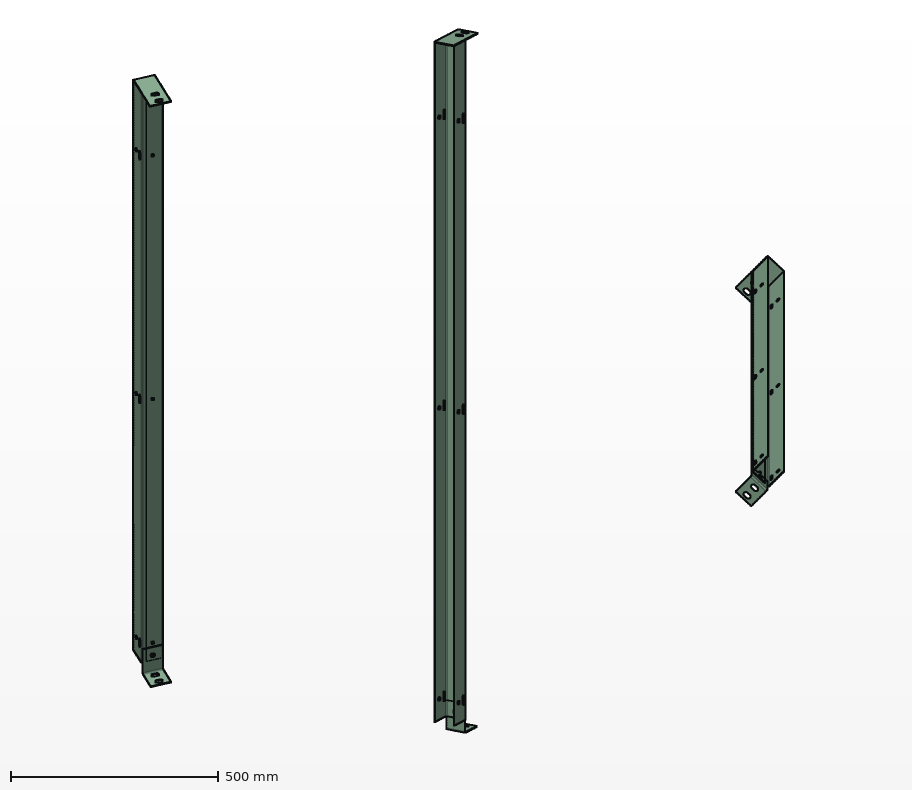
import cadquery as cq

WIDTH = 111.0
DEPTH = 56.0
LENGTH = 1764.0

SHEET = 2.0
INNER_BEND = SHEET
OUTER_BEND = INNER_BEND + SHEET
END_STOCK = 3.0

COLUMN_WIDTH = 56.0
COLUMN_BOTTOM = 35.0
REAR_WEB_EDGE_Y = 13.8
LAP_X = COLUMN_WIDTH - SHEET

STATION_COUNT = 3
FIRST_STATION_Z = 88.0
STATION_PITCH = 739.0
STATION_Z = [FIRST_STATION_Z + i * STATION_PITCH for i in range(STATION_COUNT)]
FLANGE_HOLE_X = 21.0
FLANGE_HOLE_DIAMETER = 9.3
FLANGE_SLOT_X = 44.0
FLANGE_SLOT_WIDTH = 8.0
FLANGE_SLOT_HEIGHT = 25.0
WEB_HOLE_Y = 30.0
WEB_HOLE_DIAMETER = 7.0

FOOT_FRONT_Y = OUTER_BEND
LEG_TOP = 75.0
LEG_BOLT_Z = 51.0
LEG_BOLT_DIAMETER = 11.0
FOOT_SLOT_X = [72.0, 99.0]
FOOT_SLOT_Y = WEB_HOLE_Y
FOOT_SLOT_WIDTH = 11.0
FOOT_SLOT_LENGTH = 20.0
COLUMN_TOP = LENGTH - END_STOCK


def box_between(start, end):
    """Box with opposite corners at start and end."""
    sizes = [b - a for a, b in zip(start, end)]
    return cq.Workplane("XY").box(*sizes, centered=False).translate(start)


def bent_angle(flange, web, inner_corner, outer_corner):
    """Join a flange and a web along Z, rounding the bend at its inner and outer (x, y) corners."""
    angle = flange.union(web)
    for (x, y), radius in ((inner_corner, INNER_BEND), (outer_corner, OUTER_BEND)):
        middle = (x, y, (COLUMN_BOTTOM + COLUMN_TOP) / 2)
        angle = angle.edges(cq.selectors.NearestToPointSelector(middle)).fillet(radius)
    return angle


def flange_openings():
    """Round hole and upright slot at every station, running through both flanges along Y."""
    plane = cq.Workplane("XZ", origin=(0, DEPTH, 0))
    holes = (
        plane.pushPoints([(FLANGE_HOLE_X, z) for z in STATION_Z])
        .circle(FLANGE_HOLE_DIAMETER / 2)
        .extrude(DEPTH)
    )
    slots = (
        plane.pushPoints([(FLANGE_SLOT_X, z) for z in STATION_Z])
        .slot2D(FLANGE_SLOT_HEIGHT, FLANGE_SLOT_WIDTH, 90)
        .extrude(DEPTH)
    )
    return holes.union(slots)


def web_holes():
    """Hole at every station through both webs along X."""
    return (
        cq.Workplane("YZ")
        .pushPoints([(WEB_HOLE_Y, z) for z in STATION_Z])
        .circle(WEB_HOLE_DIAMETER / 2)
        .extrude(COLUMN_WIDTH)
    )


def leg_bolt_hole():
    """Bolt hole through the rear web and the leg of the foot along X."""
    return (
        cq.Workplane("YZ")
        .center(WEB_HOLE_Y, LEG_BOLT_Z)
        .circle(LEG_BOLT_DIAMETER / 2)
        .extrude(WIDTH)
    )


def foot_slots():
    """Mounting slots along Z, shared by the foot and the top plate."""
    return (
        cq.Workplane("XY")
        .pushPoints([(x, FOOT_SLOT_Y) for x in FOOT_SLOT_X])
        .slot2D(FOOT_SLOT_LENGTH, FOOT_SLOT_WIDTH, 90)
        .extrude(LENGTH)
    )


def make_rear_angle():
    """Back flange with a narrower web lying inside the front web."""
    inner_x = LAP_X - SHEET
    inner_y = DEPTH - SHEET
    flange = box_between((0, inner_y, COLUMN_BOTTOM), (LAP_X, DEPTH, COLUMN_TOP))
    web = box_between((inner_x, REAR_WEB_EDGE_Y, COLUMN_BOTTOM), (LAP_X, DEPTH, COLUMN_TOP))
    angle = bent_angle(flange, web, (inner_x, inner_y), (LAP_X, DEPTH))
    return angle.cut(flange_openings()).cut(web_holes()).cut(leg_bolt_hole())


def make_front_angle():
    """Front flange with a full-depth web, notched at the bottom for the leg of the foot."""
    flange = box_between((0, 0, COLUMN_BOTTOM), (COLUMN_WIDTH, SHEET, LENGTH))
    web = box_between((LAP_X, 0, COLUMN_BOTTOM), (COLUMN_WIDTH, DEPTH, COLUMN_TOP))
    angle = bent_angle(flange, web, (LAP_X, SHEET), (COLUMN_WIDTH, 0))
    notch = box_between((LAP_X, FOOT_FRONT_Y, COLUMN_BOTTOM), (COLUMN_WIDTH, DEPTH, LEG_TOP))
    return angle.cut(notch).cut(flange_openings()).cut(web_holes())


def make_foot():
    """Upright leg in the notch of the front web, bent outward into a slotted foot."""
    leg_outer_x = LAP_X + END_STOCK
    leg = box_between((LAP_X, FOOT_FRONT_Y, 0), (leg_outer_x, DEPTH, LEG_TOP))
    sole = box_between((LAP_X, FOOT_FRONT_Y, 0), (WIDTH, DEPTH, END_STOCK))
    foot = leg.union(sole)
    middle_y = (FOOT_FRONT_Y + DEPTH) / 2
    for x, z, radius in (
        (leg_outer_x, END_STOCK, INNER_BEND),
        (LAP_X, 0, INNER_BEND + END_STOCK),
    ):
        foot = foot.edges(cq.selectors.NearestToPointSelector((x, middle_y, z))).fillet(radius)
    return foot.cut(foot_slots()).cut(leg_bolt_hole())


def make_top_plate():
    """Flat plate on the webs, tucked behind the front flange and reaching out over the foot."""
    plate = box_between((0, SHEET, COLUMN_TOP), (WIDTH, DEPTH, LENGTH))
    return plate.cut(foot_slots())


rear_angle = make_rear_angle()
front_angle = make_front_angle()
foot = make_foot()
top_plate = make_top_plate()

result = cq.Compound.makeCompound([rear_angle.val(), front_angle.val(), foot.val(), top_plate.val()])